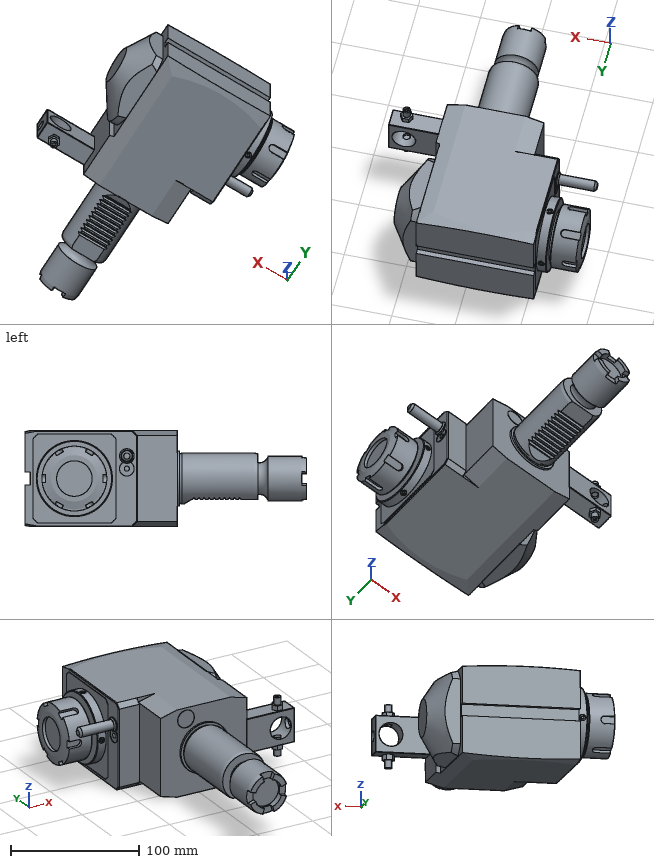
import cadquery as cq
import math


OVERLAP = 2.2

HEIGHT = 75.0
HALF_HEIGHT = HEIGHT / 2
BACK_Y = 119.0
LEFT_X = -58.7
RIGHT_X = 38.7
UPPER_RIGHT_X = 35.5
RELIEF_START_Y = 38.3
RELIEF_END_Y = 39.5
STEP_X = -39.0
STEP_Y = 35.2
BEVEL_WIDTH = 14.7
BEVEL_DROP = 4.0
CROWN_X, CROWN_Y = -16.7, -1.5
CROWN_RADIUS = 116.2
CROWN_SLOPE = 0.2
CROWN_REACH = 154.0
KEYWAY_DEPTH = 4.2
KEYWAY_WIDTH = 10.0

PLATE_RIGHT_X = -40.0
PLATE_FRONT_Y = 31.2
PLATE_CHAMFER = 4.0
PLATE_EDGE = 0.7
PAD_BACK_Y = 112.6
PAD_FRONT_Y = 47.7
PAD_HALF_HEIGHT = 34.8
PAD_HEIGHT = 0.2
PAD_CORNER = 3.7

SPINDLE_Y = 80.3
NUT_LEFT_X = -91.0
NUT_CONE_LENGTH = 1.8
NUT_RIGHT_X = -68.6
NUT_RADIUS = 25.3
NUT_CONE_RADIUS = 24.2
NUT_CHAMFER = 0.7
NUT_FACE_RADIUS = 18.0
NUT_BORE_RADIUS = 13.9
NUT_BORE_DEPTH = 2.6
NUT_NECK_RADIUS = 20.5
NUT_SLOTS = 6
NUT_SLOT_WIDTH = 6.2
NUT_SLOT_END_X = -74.4
NUT_SIDE_SLOT_END_X = -78.3
NUT_SLOT_DEPTH = 2.9
COLLAR_LEFT_X = -66.7
COLLAR_RADIUS = 29.7
COLLAR_CHAMFER = 0.7
COLLAR_SCREWS = 4
SCREW_X = -62.7
SCREW_RADIUS = 2.5
SCREW_CORE_RADIUS = 1.0
SCREW_RECESS = 1.0

PIPE_Y = 39.4
PIPE_Z = 17.5
PIPE_RADIUS = 4.2
PIPE_TIP_X = -90.9
PIPE_CHAMFER = 1.8
PIPE_COLLAR_RADIUS = 5.7
PIPE_COLLAR_LENGTH = 2.0
PIPE_COLLAR_CHAMFER = 1.0
PLUG_Z = 7.7
PLUG_RADIUS = 5.7
PLUG_RECESS = 0.5
PLUG_SOCKET_RADIUS = 2.0
PLUG_SOCKET_DEPTH = 3.3

CAP_RADIUS = 40.7
CAP_CONE_X = 41.5
CAP_END_X = 58.7
CAP_END_RADIUS = 15.2
CAP_FLAT_Y = 111.8
CAP_CUT_HALF_HEIGHT = 32.0
CAP_CUT_SLOPE = 0.32
CAP_ROOT_X = 0.0

ARM_END_X = 82.0
ARM_FRONT_Y = 0.7
ARM_BACK_Y = 16.0
ARM_HALF_HEIGHT = 14.7
ARM_EDGE = 0.5
ARM_HOLE_X = 69.7
ARM_HOLE_RADIUS = 9.5
ARM_END_HOLE_RADIUS = 4.2
STUD_Y = 6.2
STUD_RADIUS = 2.9
STUD_INNER_Z = 11.5
STUD_END_Z = 25.0
STUD_SOCKET_ACROSS_CORNERS = 3.3
STUD_SOCKET_DEPTH = 2.2
HEX_TOP_Z = 19.0
HEX_ACROSS_CORNERS = 9.7

FLANGE_RADIUS = 21.5
FLANGE_LENGTH = 1.8
RELIEF_RADIUS = 19.4
RELIEF_LENGTH = 2.0
SHANK_RADIUS = 20.0
SHANK_END_Y = -63.0
SHANK_CHAMFER_LENGTH = 2.6
SHANK_CHAMFER_DEPTH = 0.7
NECK_RADIUS = 12.5
NECK_LENGTH = 8.0
DRIVER_RADIUS = 17.5
DRIVER_END_Y = -101.0
DRIVER_TAPER = 0.7
DRIVER_BORE_RADIUS = 12.0
DRIVER_BORE_DEPTH = 5.5
DRIVER_SLOTS = 4
DRIVER_SLOT_DEPTH = 3.7
DRIVER_SLOT_HALF_ANGLE = 18.0
RACK_FLAT_Z = -16.5
RACK_START_Y = -11.0
RACK_RAMP_LENGTH = 6.8
RACK_RAMP_RISE = 4.0
RACK_PITCH = 4.0
RACK_GROOVES = 10
RACK_GROOVE_DEPTH = 1.5

FACE_PLUG_X, FACE_PLUG_Z = -16.0, 28.0
FACE_PLUG_RADIUS = 7.5
FACE_PLUG_RECESS = 0.2


def box(x0, x1, y0, y1, z0, z1):
    """Axis-aligned box between the given limits."""
    return cq.Workplane("XY").box(x1 - x0, y1 - y0, z1 - z0, centered=False).translate((x0, y0, z0))


def rod(direction, start, radius, length):
    """Cylinder from a start point along a direction."""
    return cq.Workplane(cq.Solid.makeCylinder(radius, length, cq.Vector(*start), cq.Vector(*direction)))


def turned_on_spindle(profile):
    """Solid of revolution about the spindle axis; points are (x, radius)."""
    points = [(x, SPINDLE_Y + radius) for x, radius in profile]
    return cq.Workplane("XY").polyline(points).close().revolve(360, (0, SPINDLE_Y, 0), (1, SPINDLE_Y, 0))


def both_ends(shape):
    """The shape together with its mirror image below Z = 0."""
    return shape.union(shape.mirror("XY"))


def bevel_cutter(edge_x, inward, y0, y1):
    """Wedge removing a shallow bevel along Y on the top, from edge_x inward."""
    slope = BEVEL_DROP / BEVEL_WIDTH
    wedge = (
        cq.Workplane("XZ")
        .moveTo(edge_x + inward * BEVEL_WIDTH, HALF_HEIGHT)
        .lineTo(edge_x - inward * OVERLAP, HALF_HEIGHT - BEVEL_DROP - slope * OVERLAP)
        .lineTo(edge_x - inward * OVERLAP, HALF_HEIGHT + OVERLAP)
        .lineTo(edge_x + inward * BEVEL_WIDTH, HALF_HEIGHT + OVERLAP)
        .close()
        .extrude(y0 - y1)
    )
    return wedge.translate((0, y0, 0))


def make_housing():
    outline = [
        (STEP_X, 0),
        (RIGHT_X, 0),
        (RIGHT_X, RELIEF_START_Y),
        (UPPER_RIGHT_X, RELIEF_END_Y),
        (UPPER_RIGHT_X, BACK_Y),
        (PLATE_RIGHT_X, BACK_Y),
        (PLATE_RIGHT_X, STEP_Y),
        (STEP_X, STEP_Y),
    ]
    block = cq.Workplane("XY").polyline(outline).close().extrude(HALF_HEIGHT, both=True)
    block = block.cut(both_ends(bevel_cutter(STEP_X, 1, 0, STEP_Y)))
    block = block.cut(both_ends(bevel_cutter(RIGHT_X, -1, 0, BACK_Y)))
    return block.union(make_plate())


def make_plate():
    plate = box(LEFT_X, PLATE_RIGHT_X, PLATE_FRONT_Y, BACK_Y, -HALF_HEIGHT, HALF_HEIGHT)
    plate = plate.edges("<Y and |X").chamfer(PLATE_CHAMFER)
    plate = plate.faces("<X").edges("not >Y").chamfer(PLATE_EDGE)
    pad = (
        box(LEFT_X - PAD_HEIGHT, PLATE_RIGHT_X, PAD_FRONT_Y, PAD_BACK_Y, -PAD_HALF_HEIGHT, PAD_HALF_HEIGHT)
        .edges("|X")
        .chamfer(PAD_CORNER)
    )
    return plate.union(pad)


def make_crown():
    """Double cone whose flanks slope the top and bottom down toward the back."""
    drop = CROWN_SLOPE * (CROWN_REACH - CROWN_RADIUS)
    profile = [
        (0, HALF_HEIGHT),
        (CROWN_RADIUS, HALF_HEIGHT),
        (CROWN_REACH, HALF_HEIGHT - drop),
        (CROWN_REACH, drop - HALF_HEIGHT),
        (CROWN_RADIUS, -HALF_HEIGHT),
        (0, -HALF_HEIGHT),
    ]
    crown = cq.Workplane("XZ").polyline(profile).close().revolve(360, (0, 0, 0), (0, 1, 0))
    return crown.translate((CROWN_X, CROWN_Y, 0))


def make_keyway():
    half = KEYWAY_WIDTH / 2
    return box(LEFT_X, RIGHT_X, BACK_Y - KEYWAY_DEPTH, BACK_Y, -half, half)


def make_nut_slot(end_x):
    """Round-ended wrench slot at the top of a nut centred on the X axis."""
    half = NUT_SLOT_WIDTH / 2
    floor = NUT_RADIUS - NUT_SLOT_DEPTH
    center_x = end_x - half
    slot = box(NUT_LEFT_X, center_x, -half, half, floor, NUT_RADIUS + OVERLAP)
    return slot.union(rod((0, 0, 1), (center_x, 0, floor), half, NUT_SLOT_DEPTH + OVERLAP))


def make_nose():
    """Nut, its neck and the collar, with wrench slots and collar screws."""
    bore_floor_x = NUT_LEFT_X + NUT_BORE_DEPTH
    cone_end_x = NUT_LEFT_X + NUT_CONE_LENGTH
    nose = turned_on_spindle([
        (bore_floor_x, 0),
        (bore_floor_x, NUT_BORE_RADIUS),
        (NUT_LEFT_X, NUT_BORE_RADIUS),
        (NUT_LEFT_X, NUT_FACE_RADIUS),
        (cone_end_x, NUT_CONE_RADIUS),
        (cone_end_x, NUT_RADIUS),
        (NUT_RIGHT_X - NUT_CHAMFER, NUT_RADIUS),
        (NUT_RIGHT_X, NUT_RADIUS - NUT_CHAMFER),
        (NUT_RIGHT_X, NUT_NECK_RADIUS),
        (COLLAR_LEFT_X, NUT_NECK_RADIUS),
        (COLLAR_LEFT_X, COLLAR_RADIUS - COLLAR_CHAMFER),
        (COLLAR_LEFT_X + COLLAR_CHAMFER, COLLAR_RADIUS),
        (PLATE_RIGHT_X, COLLAR_RADIUS),
        (PLATE_RIGHT_X, 0),
    ])
    for index in range(NUT_SLOTS):
        faces_y = index % (NUT_SLOTS // 2) == 0
        slot = make_nut_slot(NUT_SIDE_SLOT_END_X if faces_y else NUT_SLOT_END_X)
        angle = 90 + index * 360 / NUT_SLOTS
        nose = nose.cut(slot.rotate((0, 0, 0), (1, 0, 0), angle).translate((0, SPINDLE_Y, 0)))
    ring_floor = COLLAR_RADIUS - SCREW_RECESS
    ring = rod((0, 0, 1), (SCREW_X, 0, ring_floor), SCREW_RADIUS, SCREW_RECESS + OVERLAP)
    ring = ring.cut(rod((0, 0, 1), (SCREW_X, 0, ring_floor), SCREW_CORE_RADIUS, SCREW_RECESS + OVERLAP))
    for index in range(COLLAR_SCREWS):
        angle = index * 360 / COLLAR_SCREWS
        nose = nose.cut(ring.rotate((0, 0, 0), (1, 0, 0), angle).translate((0, SPINDLE_Y, 0)))
    return nose


def make_pipe():
    pipe = rod((1, 0, 0), (PIPE_TIP_X, PIPE_Y, PIPE_Z), PIPE_RADIUS, PLATE_RIGHT_X - PIPE_TIP_X)
    pipe = pipe.faces("<X").chamfer(PIPE_CHAMFER)
    collar = rod(
        (1, 0, 0),
        (LEFT_X - PIPE_COLLAR_LENGTH, PIPE_Y, PIPE_Z),
        PIPE_COLLAR_RADIUS,
        PIPE_COLLAR_LENGTH + OVERLAP,
    )
    collar = collar.faces("<X").chamfer(PIPE_COLLAR_CHAMFER)
    return pipe.union(collar)


def make_plug_recess():
    recess = rod((1, 0, 0), (LEFT_X, PIPE_Y, PLUG_Z), PLUG_RADIUS, PLUG_RECESS)
    socket = rod((1, 0, 0), (LEFT_X, PIPE_Y, PLUG_Z), PLUG_SOCKET_RADIUS, PLUG_SOCKET_DEPTH)
    return recess.union(socket)


def make_cap():
    cap = turned_on_spindle([
        (CAP_ROOT_X, 0),
        (CAP_ROOT_X, CAP_RADIUS),
        (CAP_CONE_X, CAP_RADIUS),
        (CAP_END_X, CAP_END_RADIUS),
        (CAP_END_X, 0),
    ])
    start_z = CAP_CUT_HALF_HEIGHT + CAP_CUT_SLOPE * (CAP_CONE_X - UPPER_RIGHT_X)
    end_z = CAP_CUT_HALF_HEIGHT - CAP_CUT_SLOPE * (CAP_END_X - CAP_CONE_X)
    envelope = (
        cq.Workplane("XZ")
        .polyline([
            (CAP_ROOT_X, start_z),
            (UPPER_RIGHT_X, start_z),
            (CAP_END_X, end_z),
            (CAP_END_X, -end_z),
            (UPPER_RIGHT_X, -start_z),
            (CAP_ROOT_X, -start_z),
        ])
        .close()
        .extrude(-CAP_FLAT_Y)
    )
    return cap.intersect(envelope)


def make_arm():
    arm = box(UPPER_RIGHT_X, ARM_END_X, ARM_FRONT_Y, ARM_BACK_Y, -ARM_HALF_HEIGHT, ARM_HALF_HEIGHT)
    arm = arm.faces(">X or >Y or <Y").edges("not <X").chamfer(ARM_EDGE)
    arm = arm.cut(rod((0, 1, 0), (ARM_HOLE_X, 0, 0), ARM_HOLE_RADIUS, ARM_BACK_Y))
    end_hole = rod((1, 0, 0), (ARM_HOLE_X, STUD_Y, 0), ARM_END_HOLE_RADIUS, ARM_END_X - ARM_HOLE_X)
    arm = arm.cut(end_hole)
    stud_hole = rod((0, 0, 1), (ARM_HOLE_X, STUD_Y, 0), STUD_RADIUS, STUD_INNER_Z)
    arm = arm.cut(both_ends(stud_hole))
    stud = rod((0, 0, 1), (ARM_HOLE_X, STUD_Y, STUD_INNER_Z), STUD_RADIUS, STUD_END_Z - STUD_INNER_Z)
    nut = (
        cq.Workplane("XY", origin=(ARM_HOLE_X, STUD_Y, ARM_HALF_HEIGHT))
        .polygon(6, HEX_ACROSS_CORNERS)
        .extrude(HEX_TOP_Z - ARM_HALF_HEIGHT)
    )
    socket = (
        cq.Workplane("XY", origin=(ARM_HOLE_X, STUD_Y, STUD_END_Z - STUD_SOCKET_DEPTH))
        .polygon(6, STUD_SOCKET_ACROSS_CORNERS)
        .extrude(STUD_SOCKET_DEPTH)
    )
    stud = stud.union(nut).cut(socket)
    return arm.union(stud).union(stud.mirror("XY"))


def make_shank():
    body_start_y = -FLANGE_LENGTH - RELIEF_LENGTH
    taper_y = DRIVER_END_Y + DRIVER_SLOT_DEPTH
    driver_top_y = SHANK_END_Y - NECK_LENGTH
    curve_mid = (
        NECK_RADIUS + (DRIVER_RADIUS - NECK_RADIUS) * (1 - math.cos(math.radians(45))),
        SHANK_END_Y - NECK_LENGTH * math.sin(math.radians(45)),
    )
    shank = (
        cq.Workplane("XY")
        .moveTo(0, OVERLAP)
        .lineTo(FLANGE_RADIUS, OVERLAP)
        .lineTo(FLANGE_RADIUS, -FLANGE_LENGTH)
        .lineTo(RELIEF_RADIUS, -FLANGE_LENGTH)
        .lineTo(SHANK_RADIUS, body_start_y)
        .lineTo(SHANK_RADIUS, SHANK_END_Y + SHANK_CHAMFER_LENGTH)
        .lineTo(SHANK_RADIUS - SHANK_CHAMFER_DEPTH, SHANK_END_Y)
        .lineTo(NECK_RADIUS, SHANK_END_Y)
        .threePointArc(curve_mid, (DRIVER_RADIUS, driver_top_y))
        .lineTo(DRIVER_RADIUS, taper_y)
        .lineTo(DRIVER_RADIUS - DRIVER_TAPER, DRIVER_END_Y)
        .lineTo(0, DRIVER_END_Y)
        .close()
        .revolve(360, (0, 0, 0), (0, 1, 0))
    )
    return shank.cut(make_rack()).cut(make_driver_cuts())


def make_rack():
    """Flat with cross grooves along the underside of the shank."""
    below = -FLANGE_RADIUS - OVERLAP
    ramp_y = RACK_START_Y + RACK_RAMP_LENGTH
    rack = (
        cq.Workplane("YZ")
        .polyline([
            (SHANK_END_Y, RACK_FLAT_Z),
            (RACK_START_Y, RACK_FLAT_Z),
            (ramp_y, RACK_FLAT_Z - RACK_RAMP_RISE),
            (ramp_y, below),
            (SHANK_END_Y, below),
        ])
        .close()
        .extrude(FLANGE_RADIUS, both=True)
    )
    groove_half = RACK_PITCH / 3
    for index in range(RACK_GROOVES):
        groove_y = RACK_START_Y - (index + 0.5) * RACK_PITCH
        groove = (
            cq.Workplane("YZ")
            .polyline([
                (groove_y - groove_half, RACK_FLAT_Z),
                (groove_y, RACK_FLAT_Z + RACK_GROOVE_DEPTH),
                (groove_y + groove_half, RACK_FLAT_Z),
            ])
            .close()
            .extrude(FLANGE_RADIUS, both=True)
        )
        rack = rack.union(groove)
    return rack


def make_driver_cuts():
    """End bore and the wedge-shaped drive slots around it."""
    cuts = rod((0, 1, 0), (0, DRIVER_END_Y, 0), DRIVER_BORE_RADIUS, DRIVER_BORE_DEPTH)
    reach = DRIVER_RADIUS + OVERLAP
    half_width = reach * math.tan(math.radians(DRIVER_SLOT_HALF_ANGLE))
    wedge = (
        cq.Workplane("XZ", origin=(0, DRIVER_END_Y, 0))
        .polyline([(0, 0), (reach, -half_width), (reach, half_width)])
        .close()
        .extrude(-DRIVER_SLOT_DEPTH)
    )
    for index in range(DRIVER_SLOTS):
        cuts = cuts.union(wedge.rotate((0, 0, 0), (0, 1, 0), index * 360 / DRIVER_SLOTS))
    return cuts


def make_face_plug_recess():
    return rod((0, 1, 0), (FACE_PLUG_X, 0, FACE_PLUG_Z), FACE_PLUG_RADIUS, FACE_PLUG_RECESS)


housing = make_housing().intersect(make_crown())
housing = housing.cut(make_keyway()).cut(make_plug_recess()).cut(make_face_plug_recess())
result = housing.union(make_nose()).union(make_pipe()).union(make_cap()).union(make_arm()).union(make_shank())